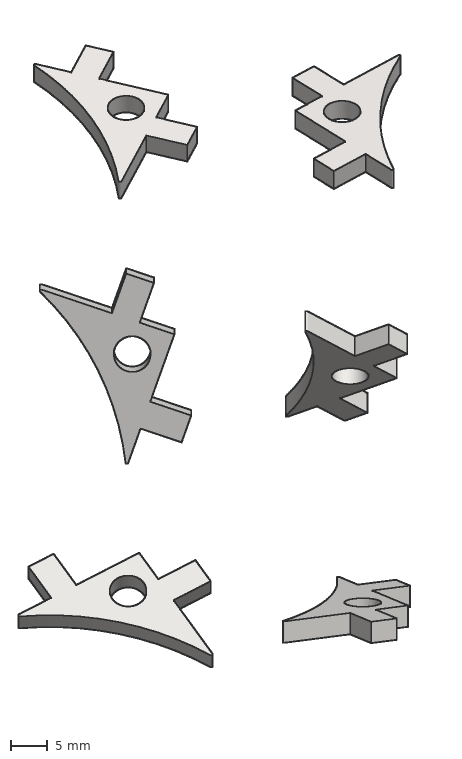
import cadquery as cq
import math

overall = 25.2
thickness = 3.0
tab_length = 5.9
tab_width = 4.0
tab_offset = 10.0
side_tab_offset = 5.0
hole_diameter = 5.0
hole_inset = 4.5
arc_radius = 40.0
tip_radius = 0.2

leg = overall - tab_length

tip_x = -leg + tip_radius
tip_y = -tip_radius

half_sum = (tip_x + tip_y) / 2
half_difference = (tip_x - tip_y) / 2
arc_inset = -half_sum + math.sqrt((arc_radius + tip_radius) ** 2 / 2 - half_difference**2)

tangent_ratio = tip_radius / (arc_radius + tip_radius)
tangent_x = tip_x + tangent_ratio * (-arc_inset - tip_x)
tangent_y = tip_y + tangent_ratio * (-arc_inset - tip_y)
arc_middle = -arc_inset + arc_radius / math.sqrt(2)


def make_tab(x, y, length_x, length_y):
    """Rectangular tab with its lower left corner at (x, y)."""
    return cq.Workplane("XY").box(length_x, length_y, thickness, centered=False).translate((x, y, 0))


plate = (
    cq.Workplane("XY")
    .lineTo(tip_x, 0)
    .threePointArc((-leg, tip_y), (tangent_x, tangent_y))
    .threePointArc((arc_middle, arc_middle), (tangent_y, tangent_x))
    .threePointArc((tip_y, -leg), (0, tip_x))
    .close()
    .extrude(thickness)
)

top_tab = make_tab(-tab_offset - tab_width, 0, tab_width, tab_length)
side_tab = make_tab(0, -side_tab_offset - tab_width, tab_length, tab_width)

hole = (
    cq.Workplane("XY")
    .center(-hole_inset, -hole_inset)
    .circle(hole_diameter / 2)
    .extrude(thickness)
)

result = plate.union(top_tab).union(side_tab).cut(hole)